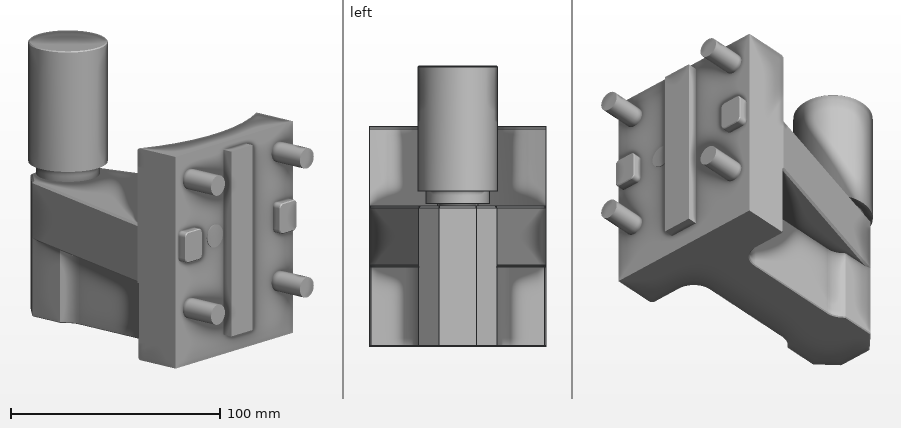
import cadquery as cq
import math


plate_front = 81.7
plate_back = 106.0
plate_half_width = 42.25
plate_height = 105.0
hollow_radius = 92.0
plate_corner_chamfer = 0.9

arm_top = 67.2
arm_underside = 38.0
arm_side_angle = 15.0
nose_tip = -16.0
nose_half_flat = 9.0
nose_shoulder = -6.2
edge_chamfer = 1.0
bottom_chamfer = 0.5

web_half_width = 14.7
web_fillet_radius = 10.0
web_start = 19.9
nose_block_end = 11.6
nose_block_chamfer = 1.4

knob_radius = 19.0
knob_bottom = 74.3
knob_top = 134.0
knob_chamfer = 0.5
collar_radius = 15.25
collar_bottom = 68.3
neck_radius = 9.7

pin_radius = 5.0
pin_end = 124.0
pin_spacing = 64.0
back_center_z = 60.0
key_width = 15.4
key_depth = 5.0
key_bottom = 9.6
key_top = 101.3
pad_depth = 4.5
pad_height = 15.2
pad_inner = 28.0
pad_outer = 40.2
pad_corner_radius = 2.3
pad_chamfer = 0.4
button_radius = 5.6
button_depth = 0.5
button_y = -14.2

pick_margin = 1.0

side_slope = math.tan(math.radians(arm_side_angle))
nose_half_width = plate_half_width - (plate_front - nose_shoulder) * side_slope


def box_between(x0, x1, y0, y1, z0, z1):
    """Axis-aligned box between two opposite corners."""
    return cq.Workplane("XY").box(x1 - x0, y1 - y0, z1 - z0, centered=False).translate((x0, y0, z0))


def cylinder_along_x(radius, length, y, z):
    """Cylinder standing on the back of the plate."""
    return cq.Workplane("YZ", origin=(plate_back, y, z)).circle(radius).extrude(length)


def symmetric_prism(half_outline, height):
    """Prism on the underside level of the arm; its +Y half outline is mirrored to -Y."""
    mirrored = [(x, -y) for x, y in reversed(half_outline)]
    outline = half_outline + mirrored
    return cq.Workplane("XY", origin=(0, 0, arm_underside)).polyline(outline).close().extrude(height)


def make_plate():
    """Upright plate, its front hollowed above the arm about the knob axis."""
    plate = box_between(
        plate_front, plate_back, -plate_half_width, plate_half_width, arm_underside, plate_height
    )
    hollow = (
        cq.Workplane("XY", origin=(0, 0, arm_top))
        .circle(hollow_radius)
        .extrude(plate_height - arm_top)
    )
    rim_bevel = cq.Workplane(
        cq.Solid.makeCone(
            hollow_radius,
            hollow_radius + edge_chamfer,
            edge_chamfer,
            pnt=cq.Vector(0, 0, plate_height - edge_chamfer),
        )
    )
    return plate.cut(hollow).cut(rim_bevel)


def make_arm():
    """Wedge that widens from the nose to the full width of the plate."""
    half_outline = [
        (nose_tip, nose_half_flat),
        (nose_shoulder, nose_half_width),
        (plate_front, plate_half_width),
        (hollow_radius, plate_half_width),
    ]
    arm = symmetric_prism(half_outline, arm_top - arm_underside)
    in_front_of_plate = cq.selectors.BoxSelector(
        (nose_tip - pick_margin, -plate_half_width, arm_top - pick_margin),
        (plate_front - pick_margin, plate_half_width, arm_top + pick_margin),
    )
    arm = arm.edges(in_front_of_plate).chamfer(edge_chamfer)
    middle_of_sides = cq.selectors.BoxSelector(
        (nose_shoulder + pick_margin, -plate_half_width, arm_underside - pick_margin),
        (plate_front - pick_margin, plate_half_width, arm_underside + pick_margin),
    )
    return arm.edges(middle_of_sides).chamfer(edge_chamfer)


def make_lower_body():
    """Nose block, web and foot of the plate, all below the arm."""
    fillet_center_y = web_half_width + web_fillet_radius
    bevel_end = nose_block_end + nose_block_chamfer
    bevel_y = fillet_center_y - math.sqrt(web_fillet_radius**2 - (web_start - bevel_end) ** 2)
    fillet_end_x = plate_front - web_fillet_radius
    half = (
        cq.Workplane("XY")
        .moveTo(nose_tip, 0)
        .lineTo(nose_tip, nose_half_flat)
        .lineTo(nose_shoulder, nose_half_width)
        .lineTo(nose_block_end, nose_half_width)
        .lineTo(bevel_end, bevel_y)
        .radiusArc((web_start, web_half_width), -web_fillet_radius)
        .lineTo(fillet_end_x, web_half_width)
        .radiusArc((plate_front, fillet_center_y), -web_fillet_radius)
        .lineTo(plate_front, plate_half_width - plate_corner_chamfer)
        .lineTo(plate_front + plate_corner_chamfer, plate_half_width)
        .lineTo(plate_back, plate_half_width)
        .lineTo(plate_back, 0)
        .close()
        .extrude(arm_underside)
    )
    body = half.union(half.mirror("XZ")).clean()
    in_front_of_plate = cq.selectors.BoxSelector(
        (nose_tip - pick_margin, -plate_half_width, -pick_margin),
        (plate_front + plate_corner_chamfer, plate_half_width, pick_margin),
    )
    return body.edges(in_front_of_plate).chamfer(bottom_chamfer)


def make_nose_block_top():
    """Raises the nose block past the bevel under the arm, so the nose faces run through unbroken."""
    half_outline = [
        (nose_tip, nose_half_flat),
        (nose_shoulder, nose_half_width),
        (nose_block_end, nose_half_width),
    ]
    return symmetric_prism(half_outline, edge_chamfer)


def make_knob():
    """Neck, collar and grip, stacked on the knob axis."""
    neck = cq.Workplane("XY", origin=(0, 0, arm_top)).circle(neck_radius).extrude(collar_bottom - arm_top)
    collar = (
        cq.Workplane("XY", origin=(0, 0, collar_bottom))
        .circle(collar_radius)
        .extrude(knob_bottom - collar_bottom)
    )
    grip = (
        cq.Workplane("XY", origin=(0, 0, knob_bottom))
        .circle(knob_radius)
        .extrude(knob_top - knob_bottom)
        .faces(">Z")
        .chamfer(knob_chamfer)
    )
    return neck.union(collar).union(grip)


def make_pad(side):
    """Small locating pad near one edge of the plate; side is +1 or -1."""
    pad_width = pad_outer - pad_inner
    pad_y = side * (pad_inner + pad_outer) / 2
    return (
        cq.Workplane("YZ", origin=(plate_back, pad_y, back_center_z))
        .rect(pad_width, pad_height)
        .extrude(pad_depth)
        .edges("|X")
        .fillet(pad_corner_radius)
        .faces(">X")
        .chamfer(pad_chamfer)
    )


def make_back_fittings():
    """Upright key, two pads, four pins and a flat button on the back of the plate."""
    fittings = box_between(
        plate_back, plate_back + key_depth, -key_width / 2, key_width / 2, key_bottom, key_top
    )
    for side in (-1, 1):
        fittings = fittings.union(make_pad(side))
        for level in (-1, 1):
            pin_y = side * pin_spacing / 2
            pin_z = back_center_z + level * pin_spacing / 2
            fittings = fittings.union(cylinder_along_x(pin_radius, pin_end - plate_back, pin_y, pin_z))
    return fittings.union(cylinder_along_x(button_radius, button_depth, button_y, back_center_z))


result = (
    make_lower_body()
    .union(make_nose_block_top())
    .union(make_arm())
    .union(make_plate())
    .union(make_knob())
    .union(make_back_fittings())
)